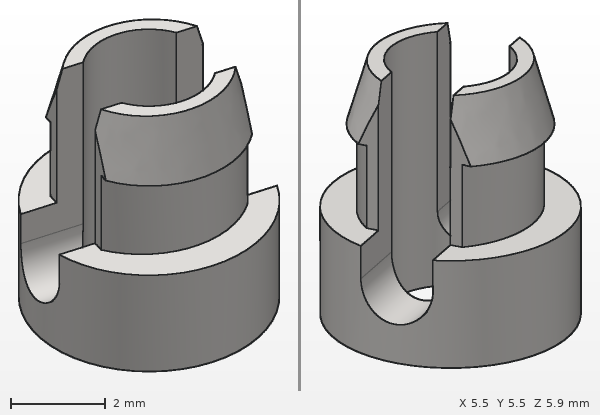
import cadquery as cq

total_height = 5.9
base_diameter = 5.5
base_height = 2.49
bore_diameter = 2.8
slot_width = 1.68
slot_bottom = 0.895
flat_width = 3.515
barb_bottom = 4.4

neck_reach = 1.945
neck_radius = 2.28
barb_bottom_reach = 2.195
barb_bottom_radius = 2.195
barb_top_reach = 1.745
barb_top_radius = 1.895


def make_base():
    return cq.Workplane("XY").circle(base_diameter / 2).extrude(base_height)


def make_prong(side):
    """Snap prong on the side -1 (-X) or +1 (+X): arched neck and tapered barb."""
    neck = (
        cq.Workplane("XY", origin=(side * (neck_reach - neck_radius), 0, base_height))
        .circle(neck_radius)
        .extrude(barb_bottom - base_height)
    )
    barb_bottom_centre = side * (barb_bottom_reach - barb_bottom_radius)
    barb_top_centre = side * (barb_top_reach - barb_top_radius)
    barb = (
        cq.Workplane("XY", origin=(barb_bottom_centre, 0, barb_bottom))
        .circle(barb_bottom_radius)
        .workplane(offset=total_height - barb_bottom)
        .center(barb_top_centre - barb_bottom_centre, 0)
        .circle(barb_top_radius)
        .loft(ruled=True)
    )
    half_width = base_diameter / 2
    envelope = cq.Workplane("XY", origin=(side * half_width / 2, 0, 0)).box(
        half_width, flat_width, total_height, centered=(True, True, False)
    )
    return neck.union(barb).intersect(envelope)


def make_slot():
    """Slot along Y with a round bottom, open at the top."""
    radius = slot_width / 2
    round_centre = slot_bottom + radius
    return (
        cq.Workplane("XZ")
        .moveTo(-radius, total_height)
        .lineTo(-radius, round_centre)
        .threePointArc((0, slot_bottom), (radius, round_centre))
        .lineTo(radius, total_height)
        .close()
        .extrude(base_diameter / 2, both=True)
    )


result = make_base()
for side in (-1, 1):
    result = result.union(make_prong(side))

bore = cq.Workplane("XY").circle(bore_diameter / 2).extrude(total_height)
result = result.cut(bore).cut(make_slot())